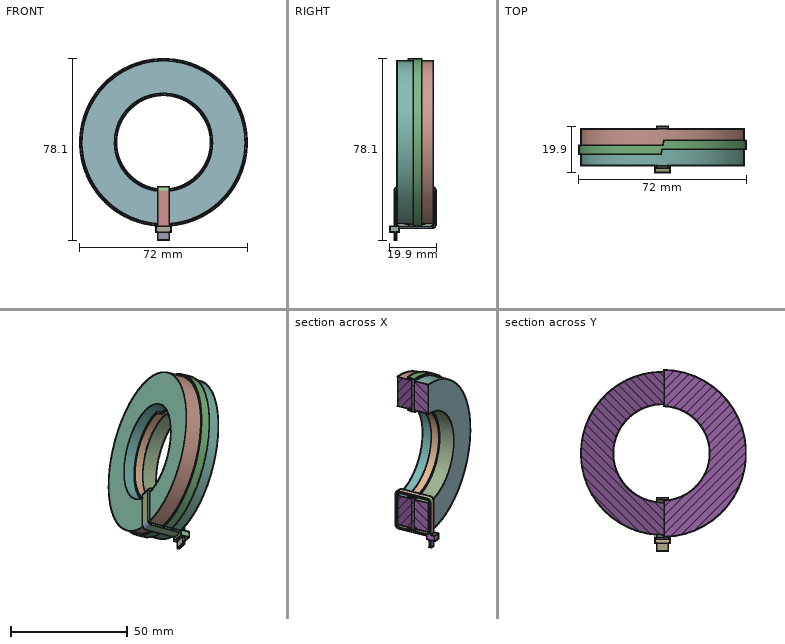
import cadquery as cq
import math


disc_outer_radius = 36.0
disc_inner_radius = 20.25
disc_thickness = 3.75
step_height = 2.1
step_angle = math.radians(12)

ring_setback = 0.85
ring_outer_radius = disc_outer_radius - ring_setback
ring_inner_radius = disc_inner_radius + ring_setback
stack_width = 15.75
trim_margin = 1.0

strap_width = 5.0
strap_thickness = 1.0
strap_bend_radius = 2.0
strap_clearance = 0.125
loop_inner_top = -20.0
loop_inner_bottom = -disc_outer_radius
head_width = 6.5
head_depth = 4.0
head_height = 2.6
head_front_overhang = 1.88
tail_end = -42.1


def annulus(outer_radius, inner_radius):
    """Ring about Y over the full stack width, with its seam at the top."""
    ring = (
        cq.Workplane("XZ", origin=(0, stack_width / 2, 0))
        .circle(outer_radius)
        .circle(inner_radius)
        .extrude(stack_width)
    )
    return ring.rotate((0, 0, 0), (0, 1, 0), -90)


def stepped_face(side):
    """Points, left to right, of the disc's front (side = -1) or back (side = 1) face."""
    reach = disc_outer_radius + trim_margin
    left_y = side * disc_thickness / 2 - step_height / 2
    right_y = side * disc_thickness / 2 + step_height / 2
    lean = math.tan(step_angle)
    return [
        (-reach, left_y),
        (left_y * lean, left_y),
        (right_y * lean, right_y),
        (reach, right_y),
    ]


def prism(points):
    """Outline in X and Y, extended along Z past the whole ring."""
    half_height = disc_outer_radius + trim_margin
    return cq.Workplane("XY").polyline(points).close().extrude(half_height, both=True)


def make_disc():
    outline = stepped_face(-1) + stepped_face(1)[::-1]
    return annulus(disc_outer_radius, disc_inner_radius).intersect(prism(outline))


def make_ring(side):
    """Ring that fills the stack in front of (-1) or behind (1) the disc."""
    face = stepped_face(side)
    flat_y = side * stack_width / 2
    outline = face + [(face[-1][0], flat_y), (face[0][0], flat_y)]
    return annulus(ring_outer_radius, ring_inner_radius).intersect(prism(outline))


def make_tie():
    inner_depth = stack_width + 2 * strap_clearance
    inner_height = loop_inner_top - loop_inner_bottom
    loop_mid_z = (loop_inner_top + loop_inner_bottom) / 2
    leg_front = -inner_depth / 2 - strap_thickness
    leg_mid = leg_front + strap_thickness / 2

    def loop_block(offset, bend_radius):
        block = cq.Workplane("XY", origin=(0, 0, loop_mid_z)).box(
            strap_width, inner_depth + 2 * offset, inner_height + 2 * offset
        )
        return block.edges("|X").fillet(bend_radius)

    loop = loop_block(strap_thickness, strap_bend_radius).cut(
        loop_block(0, strap_bend_radius - strap_thickness)
    )
    head = cq.Workplane("XY").box(head_width, head_depth, head_height).translate(
        (0, leg_front - head_front_overhang + head_depth / 2, loop_inner_bottom - head_height / 2)
    )
    tail_length = loop_mid_z - tail_end
    tail = cq.Workplane("XY").box(strap_width, strap_thickness, tail_length).translate(
        (0, leg_mid, loop_mid_z - tail_length / 2)
    )
    return loop.union(head).union(tail)


disc = make_disc()
rings = [make_ring(side) for side in (-1, 1)]
tie = make_tie()

result = cq.Compound.makeCompound([body.solids().val() for body in (disc, *rings, tie)])